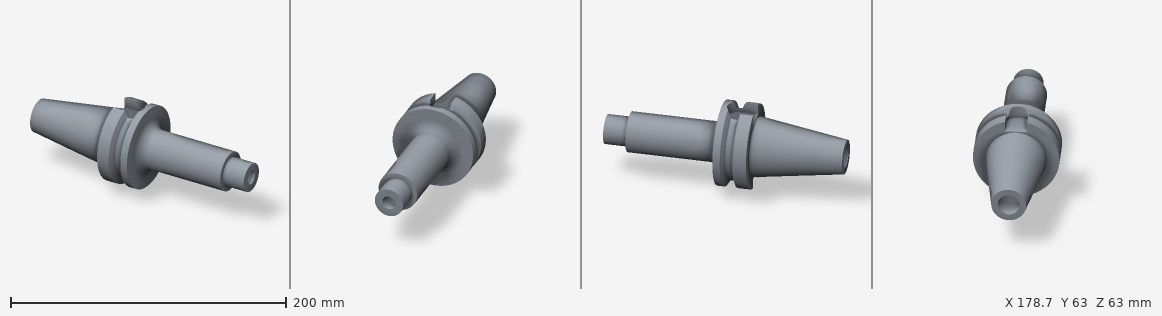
import cadquery as cq

total_length = 178.7
taper_end = 65.4
land_end = 66.3
flange_start = 67.4
groove_start = 77.0
groove_floor_start = 79.3
groove_floor_end = 84.0
groove_end = 86.8
flange_end = 92.4
tip_length = 17.5
shank_end = total_length - tip_length

flange_diameter = 63.0
groove_diameter = 53.0
gauge_diameter = 44.5
taper_ratio = 7 / 24
small_end_diameter = gauge_diameter - taper_ratio * taper_end
neck_diameter = 43.6
shank_diameter = 30.0
tip_diameter = 22.0
shank_fillet = 7.3

slot_width = 16.0
slot_end = 88.5
slot_floor = 22.5

wide_bore_diameter = 15.9
narrow_bore_diameter = 10.4
wide_bore_depth = taper_end


def make_body():
    """Revolve the half profile of the holder about the X axis."""
    shank_radius = shank_diameter / 2
    fillet_offset = shank_fillet * (1 - 0.5 ** 0.5)
    profile = (
        cq.Workplane("XY")
        .moveTo(0, 0)
        .lineTo(0, small_end_diameter / 2)
        .lineTo(taper_end, gauge_diameter / 2)
        .lineTo(land_end, gauge_diameter / 2)
        .lineTo(land_end, neck_diameter / 2)
        .lineTo(flange_start, neck_diameter / 2)
        .lineTo(flange_start, flange_diameter / 2)
        .lineTo(groove_start, flange_diameter / 2)
        .lineTo(groove_floor_start, groove_diameter / 2)
        .lineTo(groove_floor_end, groove_diameter / 2)
        .lineTo(groove_end, flange_diameter / 2)
        .lineTo(flange_end, flange_diameter / 2)
        .lineTo(flange_end, shank_radius + shank_fillet)
        .threePointArc(
            (flange_end + fillet_offset, shank_radius + fillet_offset),
            (flange_end + shank_fillet, shank_radius),
        )
        .lineTo(shank_end, shank_radius)
        .lineTo(shank_end, tip_diameter / 2)
        .lineTo(total_length, tip_diameter / 2)
        .lineTo(total_length, 0)
        .close()
    )
    return profile.revolve(360, (0, 0, 0), (1, 0, 0))


def make_bore(diameter, depth):
    """Cylinder along X from the small end of the taper."""
    return cq.Workplane("YZ").circle(diameter / 2).extrude(depth)


def make_upper_slot():
    """Round-ended drive slot, open towards the taper."""
    half_width = slot_width / 2
    arc_start = slot_end - half_width
    return (
        cq.Workplane("XY", origin=(0, 0, slot_floor))
        .moveTo(flange_start, -half_width)
        .lineTo(arc_start, -half_width)
        .threePointArc((slot_end, 0), (arc_start, half_width))
        .lineTo(flange_start, half_width)
        .close()
        .extrude(flange_diameter / 2)
    )


upper_slot = make_upper_slot()
lower_slot = upper_slot.mirror("XY")

result = (
    make_body()
    .cut(make_bore(wide_bore_diameter, wide_bore_depth))
    .cut(make_bore(narrow_bore_diameter, total_length))
    .cut(upper_slot)
    .cut(lower_slot)
)